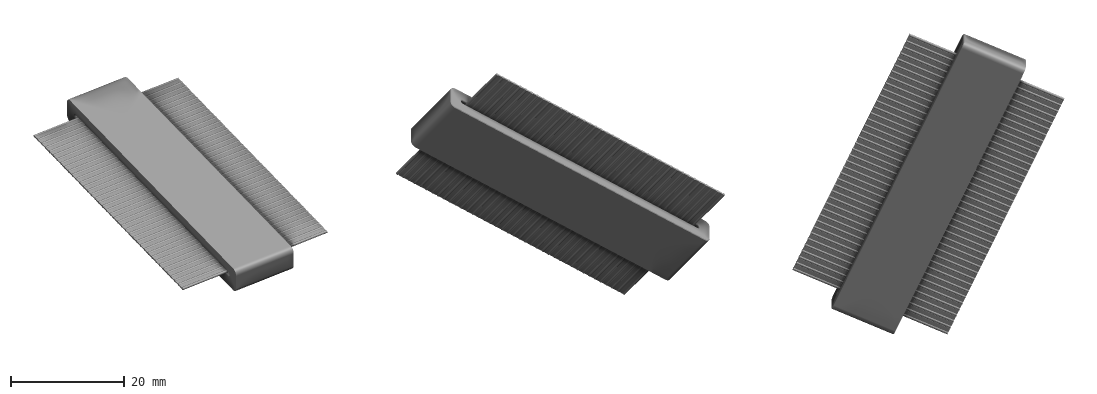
import cadquery as cq
housing_length = 56.6
housing_depth = 12.0
housing_height = 5.0
edge_radius = 1.0
back_chamfer = 0.1

passage_width = 51.9
passage_height = 0.6
mouth_radius = 0.3

cable_length = 30.0
cable_width = 50.0
wire_count = 40
wire_diameter = 0.5
wire_pitch = (cable_width - wire_diameter) / (wire_count - 1)
web_thickness = 0.3
web_bite = 0.005
web_width = wire_pitch - wire_diameter + 2 * web_bite


def make_housing():
    block = cq.Workplane("XY").box(housing_length, housing_depth, housing_height)
    block = block.edges("|Y").fillet(edge_radius)
    block = block.faces(">Y").edges().chamfer(back_chamfer)
    passage = (
        cq.Workplane("XZ", origin=(0, housing_depth / 2, 0))
        .slot2D(passage_width, passage_height)
        .extrude(housing_depth)
    )
    block = block.cut(passage)
    around_passage = cq.selectors.BoxSelector(
        (-passage_width, -housing_depth, -passage_height),
        (passage_width, housing_depth, passage_height),
        boundingbox=True,
    )
    return block.faces("<Y or >Y").edges(around_passage).fillet(mouth_radius)


def centers_along_x(count):
    """Points spaced one wire pitch apart and centred on the Z axis."""
    span = (count - 1) * wire_pitch
    return [(i * wire_pitch - span / 2, 0) for i in range(count)]


def make_cable():
    end_plane = cq.Workplane("XZ", origin=(0, cable_length / 2, 0))
    wires = (
        end_plane.pushPoints(centers_along_x(wire_count))
        .circle(wire_diameter / 2)
        .extrude(cable_length)
    )
    webs = (
        end_plane.pushPoints(centers_along_x(wire_count - 1))
        .rect(web_width, web_thickness)
        .extrude(cable_length)
    )
    return wires.union(webs)


housing = make_housing()
cable = make_cable()

result = cq.Compound.makeCompound([housing.val(), cable.val()])